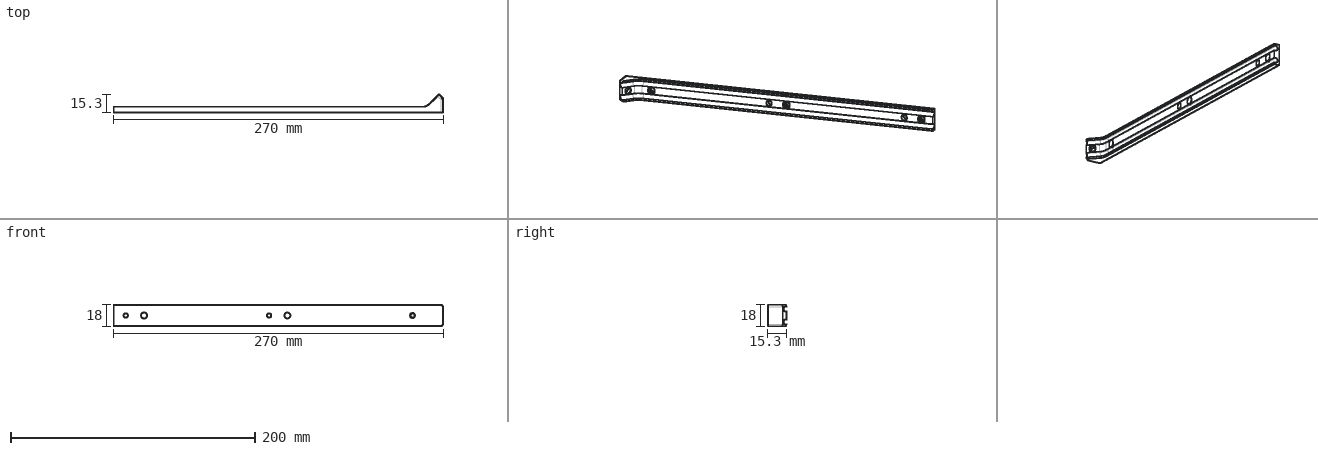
import cadquery as cq
import math

LENGTH = 270.0
DEPTH = 15.25
HEIGHT = 18.0

BAR_THICKNESS = 5.0
TIP_RUN = 3.25
HOOK_BEND_RADIUS = 8.0
END_CORNER_RADIUS = 2.0
FRONT_CHAMFER = 0.4

GROOVE_WIDTH = 4.0
GROOVE_DEPTH = 3.2
GROOVE_OFFSET = 5.3

HOLE_PITCH = 117.5
SMALL_HOLE_COUNT = 3
SMALL_HOLE_X = 10.0
SMALL_HOLE_DIAMETER = 3.4
COUNTERBORE_DIAMETER = 6.0
COUNTERBORE_FLOOR = 1.6
LARGE_HOLE_COUNT = 2
LARGE_HOLE_X = 25.0
LARGE_HOLE_DIAMETER = 4.7
END_HOLE_X = SMALL_HOLE_X + (SMALL_HOLE_COUNT - 1) * HOLE_PITCH
END_HOLE_COUNTERSINK = 0.4

HOOK_HOLE_DIAMETER = 4.7
HOOK_HOLE_COUNTERSINK = 0.4
HOOK_HOLE_DEPTH = 5.0
HOOK_HOLE_Y = 11.4

DIAGONAL = math.sqrt(0.5)
TIP_X = LENGTH - TIP_RUN
HOOK_CORNER_X = TIP_X - (DEPTH - BAR_THICKNESS)
HALF_BEND = math.radians(22.5)
BEND_TANGENT = HOOK_BEND_RADIUS * math.tan(HALF_BEND)
BEND_START = (HOOK_CORNER_X - BEND_TANGENT, BAR_THICKNESS)
BEND_MIDDLE = (
    BEND_START[0] + HOOK_BEND_RADIUS * math.sin(HALF_BEND),
    BAR_THICKNESS + HOOK_BEND_RADIUS * (1 - math.cos(HALF_BEND)),
)
BEND_END = (
    HOOK_CORNER_X + BEND_TANGENT * DIAGONAL,
    BAR_THICKNESS + BEND_TANGENT * DIAGONAL,
)

OVERRUN = 5.0
GROOVE_CLEARANCE = 1.0


def make_body():
    """Bar and hook, with rounded end corners and chamfered front edges."""
    body = (
        cq.Workplane("XY")
        .workplane(offset=-HEIGHT / 2)
        .lineTo(LENGTH, 0)
        .lineTo(LENGTH, DEPTH - TIP_RUN)
        .lineTo(TIP_X, DEPTH)
        .lineTo(*BEND_END)
        .threePointArc(BEND_MIDDLE, BEND_START)
        .lineTo(0, BAR_THICKNESS)
        .close()
        .extrude(HEIGHT)
    )
    end_box = cq.selectors.BoxSelector(
        (TIP_X, BAR_THICKNESS, -HEIGHT), (LENGTH + OVERRUN, DEPTH, HEIGHT)
    )
    body = body.edges("not |Z").edges(end_box).fillet(END_CORNER_RADIUS)
    return body.faces("<Y").edges("not <X").chamfer(FRONT_CHAMFER)


def make_groove(z_center):
    """Groove cutter: a round-bottomed section swept along the back of the part."""
    path = (
        cq.Workplane("XY", origin=(0, 0, z_center))
        .moveTo(-OVERRUN, BAR_THICKNESS)
        .lineTo(*BEND_START)
        .threePointArc(BEND_MIDDLE, BEND_END)
        .lineTo(TIP_X + OVERRUN, DEPTH + OVERRUN)
    )
    radius = GROOVE_WIDTH / 2
    section = cq.Workplane("YZ", origin=(-OVERRUN, BAR_THICKNESS, z_center))
    return (
        section.moveTo(GROOVE_CLEARANCE, -radius)
        .lineTo(radius - GROOVE_DEPTH, -radius)
        .threePointArc((-GROOVE_DEPTH, 0), (radius - GROOVE_DEPTH, radius))
        .lineTo(GROOVE_CLEARANCE, radius)
        .close()
        .sweep(path)
    )


def make_bar_hole(x, diameter, start_y=0.0):
    """Hole cutter from start_y through to the back of the bar."""
    return (
        cq.Workplane("XZ", origin=(x, start_y, 0))
        .circle(diameter / 2)
        .extrude(start_y - BAR_THICKNESS)
    )


def make_countersink(plane, hole_diameter, depth):
    """45 degree countersink cutter that narrows to the hole along the plane normal."""
    return cq.Workplane(plane).circle(hole_diameter / 2 + depth).extrude(depth, taper=45)


def make_hook_hole():
    """Blind hole cutter with its countersink, square to the hook slope."""
    center_x = TIP_X - (DEPTH - HOOK_HOLE_Y)
    slope_plane = cq.Plane(
        origin=(center_x, HOOK_HOLE_Y, 0), xDir=(0, 0, 1), normal=(1, -1, 0)
    )
    bore = cq.Workplane(slope_plane).circle(HOOK_HOLE_DIAMETER / 2).extrude(HOOK_HOLE_DEPTH)
    return bore.union(make_countersink(slope_plane, HOOK_HOLE_DIAMETER, HOOK_HOLE_COUNTERSINK))


result = make_body()

for side in (-1, 1):
    result = result.cut(make_groove(side * GROOVE_OFFSET))

for index in range(SMALL_HOLE_COUNT):
    small_x = SMALL_HOLE_X + index * HOLE_PITCH
    result = result.cut(make_bar_hole(small_x, SMALL_HOLE_DIAMETER))
    result = result.cut(make_bar_hole(small_x, COUNTERBORE_DIAMETER, COUNTERBORE_FLOOR))

for index in range(LARGE_HOLE_COUNT):
    large_x = LARGE_HOLE_X + index * HOLE_PITCH
    result = result.cut(make_bar_hole(large_x, LARGE_HOLE_DIAMETER))

end_hole_plane = cq.Plane(origin=(END_HOLE_X, 0, 0), xDir=(1, 0, 0), normal=(0, 1, 0))
result = result.cut(make_countersink(end_hole_plane, SMALL_HOLE_DIAMETER, END_HOLE_COUNTERSINK))

result = result.cut(make_hook_hole()).solids()